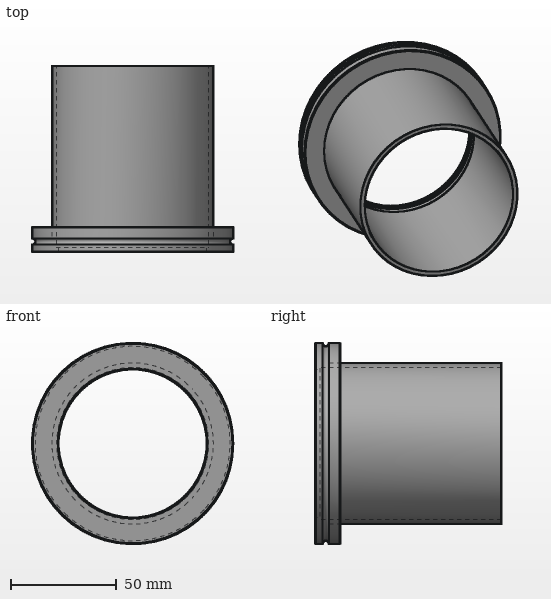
import cadquery as cq

overall_length = 88.0
flange_radius = 47.5
flange_thickness = 12.0
edge_chamfer = 0.4

tube_outer_radius = 38.1
tube_wall = 2.2
tube_bore_radius = tube_outer_radius - tube_wall
lip_radius = 35.0
lip_depth = 2.3
seat_depth = 6.3

groove_front = 3.6
groove_width = 2.85
groove_depth = 1.5


def revolve_about_y(profile):
    """Turn a closed profile drawn in the XY plane into a ring around Y."""
    return profile.revolve(360, (0, 0, 0), (0, 1, 0))


def ring(outer_radius, inner_radius, start, end):
    profile = (
        cq.Workplane("XY")
        .moveTo(inner_radius, start)
        .lineTo(outer_radius, start)
        .lineTo(outer_radius, end)
        .lineTo(inner_radius, end)
        .close()
    )
    return revolve_about_y(profile)


def rim_groove():
    """Rounded groove around the rim of the flange."""
    groove_back = groove_front + groove_width
    groove_middle = groove_front + groove_width / 2
    profile = (
        cq.Workplane("XY")
        .moveTo(flange_radius, groove_front)
        .threePointArc((flange_radius - groove_depth, groove_middle), (flange_radius, groove_back))
        .close()
    )
    return revolve_about_y(profile)


def make_flange():
    blank = ring(flange_radius, lip_radius, 0, flange_thickness)
    blank = blank.faces("<Y").chamfer(edge_chamfer)
    back_rim = cq.selectors.RadiusNthSelector(-1)
    blank = blank.faces(">Y").edges(back_rim).chamfer(edge_chamfer)
    recess = ring(tube_bore_radius, 0, lip_depth, seat_depth)
    seat = ring(tube_outer_radius, 0, seat_depth, flange_thickness)
    return blank.cut(recess).cut(seat).cut(rim_groove())


def make_tube():
    return ring(tube_outer_radius, tube_bore_radius, seat_depth, overall_length)


flange = make_flange()
tube = make_tube()
result = cq.Compound.makeCompound([flange.val(), tube.val()])